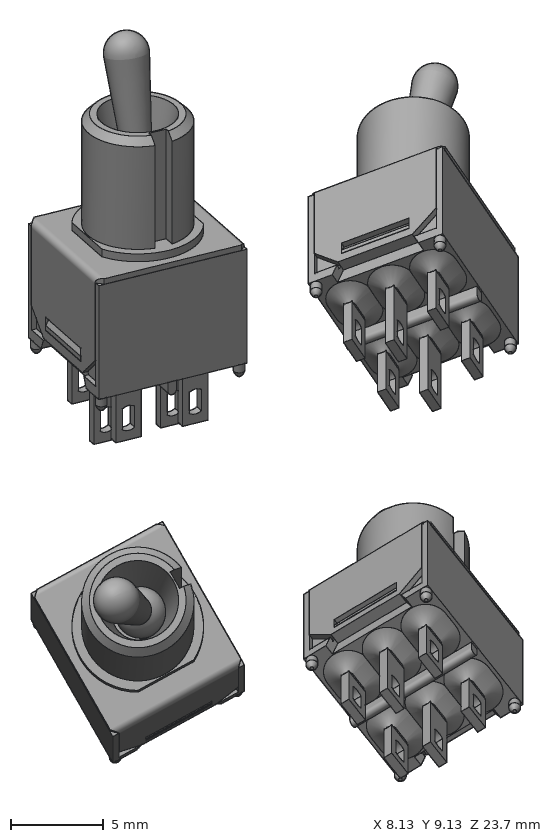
import cadquery as cq
import math

CASE_X = 8.13
CASE_Y = 9.05
CASE_TOP = 7.28
BRACKET_X = 8.09
BRACKET_Y = 9.13
SHEET = 0.33
SIDE_WALL = 0.38
BEND_RADIUS = 0.38
CORNER_CUT = 0.38
PLATE_BOTTOM = CASE_TOP - SHEET
FLAP_X = CASE_X - 2 * SIDE_WALL
LEDGE_TOP = 0.65
FLAP_BOTTOM = 0.8
FLAP_BOTTOM_X = 4.5
FLAP_TAPER_Z = 2.2
MOUTH_BOTTOM_X = 5.22
MOUTH_DEPTH = 0.66

WINDOW_X = 4.08
WINDOW_BOTTOM = 1.4
WINDOW_TOP = 2.2
LATCH_TOP = 1.68
LATCH_DEPTH = 0.02

WASHER_DIAMETER = 7.11
WASHER_FLATS = 6.21
WASHER_HEIGHT = 0.47
BUSHING_DIAMETER = 6.07
BUSHING_HEIGHT = 7.15
BUSHING_CHAMFER = 0.43
BORE_TOP_DIAMETER = 4.4
BORE_BOTTOM_DIAMETER = 2.75
BORE_DEPTH = 3.8
KEYWAY_WIDTH = 1.05
KEYWAY_INNER_X = 2.3

LEVER_TILT = 12.6
PIVOT_Z = 11.71
LEVER_TOP = 18.78
KNOB_RADIUS = 1.25
LEVER_ROOT_RADIUS = 0.78
BALL_RADIUS = 1.4
BALL_DROP = 0.92

TERMINAL_PITCH_X = 2.54
TERMINAL_Y = 2.05
TERMINAL_X_SIZE = 0.52
TERMINAL_Y_SIZE = 1.56
OUTER_TERMINAL_LENGTH = 3.65
CENTRE_TERMINAL_LENGTH = 4.93
EYE_WIDTH = 0.74
EYE_LENGTH = 1.52
EYE_END_MARGIN = 0.57
EYE_END_RISE = 0.12
SEAL_HEIGHT = 0.65
SEAL_TOP_RADIUS = 1.33
SEAL_BOTTOM_RADIUS = 0.33
SEAL_MID_RADIUS = 0.66
SEAL_MID_DEPTH = 0.33
SEAL_CORE_Y = 0.95

PEG_DIAMETER = 0.65
PEG_STRAIGHT = 0.5
FOOT_HEIGHT = 0.85
PEG_TIP_RADIUS = 0.1
PEG_NOSE_RADIUS = 0.6
RAIL_X = 7.97
RAIL_WIDTH = 0.52

SIDES = (-1, 1)


def box(x_size, y_size, z_low, z_high, x=0, y=0):
    block = cq.Workplane("XY").box(x_size, y_size, z_high - z_low, centered=(True, True, False))
    return block.translate((x, y, z_low))


def front_prism(points, depth):
    """Outline in X and Z, running inwards from the -Y face of the bracket."""
    return cq.Workplane("XZ", origin=(0, -BRACKET_Y / 2, 0)).polyline(points).close().extrude(-depth)


def make_flap_side():
    """Recess, flap and latch window at the -Y face: (cut from the case, flap to add)."""
    face_y = -BRACKET_Y / 2
    recess = box(FLAP_X, SHEET, LEDGE_TOP, PLATE_BOTTOM, y=face_y + SHEET / 2)
    mouth = front_prism([
        (-MOUTH_BOTTOM_X / 2, 0),
        (-FLAP_BOTTOM_X / 2, FLAP_BOTTOM),
        (FLAP_BOTTOM_X / 2, FLAP_BOTTOM),
        (MOUTH_BOTTOM_X / 2, 0),
    ], MOUTH_DEPTH)
    flap = front_prism([
        (-FLAP_X / 2, PLATE_BOTTOM),
        (-FLAP_X / 2, FLAP_TAPER_Z),
        (-FLAP_BOTTOM_X / 2, FLAP_BOTTOM),
        (FLAP_BOTTOM_X / 2, FLAP_BOTTOM),
        (FLAP_X / 2, FLAP_TAPER_Z),
        (FLAP_X / 2, PLATE_BOTTOM),
    ], SHEET)
    window = (
        cq.Workplane("YZ", origin=(-WINDOW_X / 2, face_y, 0))
        .polyline([
            (0, WINDOW_BOTTOM),
            (LATCH_DEPTH, WINDOW_BOTTOM),
            (LATCH_DEPTH, LATCH_TOP),
            (SHEET, WINDOW_TOP),
            (0, WINDOW_TOP),
        ])
        .close()
        .extrude(WINDOW_X)
    )
    return recess.union(mouth), flap.cut(window)


def make_case():
    case = box(CASE_X, CASE_Y, 0, PLATE_BOTTOM)
    bracket = box(BRACKET_X, BRACKET_Y, PLATE_BOTTOM, CASE_TOP)
    bracket = bracket.edges("|Z").chamfer(CORNER_CUT)
    waste, flap = make_flap_side()
    case = case.cut(waste).cut(waste.mirror("XZ"))
    bracket = bracket.union(flap).union(flap.mirror("XZ"))

    bend_envelope = box(BRACKET_X, BRACKET_Y, 0, CASE_TOP).edges("|X and >Z").fillet(BEND_RADIUS)
    return case.union(bracket.intersect(bend_envelope))


def make_bushing():
    washer = cq.Workplane("XY").circle(WASHER_DIAMETER / 2).extrude(WASHER_HEIGHT)
    washer = washer.intersect(box(WASHER_DIAMETER, WASHER_FLATS, 0, WASHER_HEIGHT))
    barrel = (
        cq.Workplane("XY")
        .circle(BUSHING_DIAMETER / 2)
        .extrude(BUSHING_HEIGHT)
        .faces(">Z")
        .chamfer(BUSHING_CHAMFER)
    )
    bore = (
        cq.Workplane("XY", origin=(0, 0, BUSHING_HEIGHT))
        .circle(BORE_TOP_DIAMETER / 2)
        .workplane(offset=-BORE_DEPTH)
        .circle(BORE_BOTTOM_DIAMETER / 2)
        .loft()
    )
    keyway_depth = BUSHING_DIAMETER / 2 - KEYWAY_INNER_X
    keyway = box(
        keyway_depth, KEYWAY_WIDTH, WASHER_HEIGHT, BUSHING_HEIGHT, x=KEYWAY_INNER_X + keyway_depth / 2
    )
    return barrel.cut(bore).cut(keyway).union(washer).translate((0, 0, CASE_TOP))


def make_lever():
    """Upright lever about its pivot, then tilted and lifted into the bushing."""
    knob_height = (LEVER_TOP - KNOB_RADIUS - PIVOT_Z) / math.cos(math.radians(LEVER_TILT))
    lever = (
        cq.Workplane("XZ")
        .moveTo(0, -BALL_DROP)
        .lineTo(LEVER_ROOT_RADIUS, -BALL_DROP)
        .lineTo(LEVER_ROOT_RADIUS, 0)
        .lineTo(KNOB_RADIUS, knob_height)
        .radiusArc((0, knob_height + KNOB_RADIUS), -KNOB_RADIUS)
        .close()
        .revolve(360, (0, 0, 0), (0, 1, 0))
    )
    ball = cq.Workplane("XY").sphere(BALL_RADIUS).translate((0, 0, -BALL_DROP))
    lever = lever.union(ball).rotate((0, 0, 0), (0, 1, 0), -LEVER_TILT)
    return lever.translate((0, 0, PIVOT_Z))


def make_terminal(length):
    blade = box(TERMINAL_X_SIZE, TERMINAL_Y_SIZE, -length, 0)
    eye_bottom = -length + EYE_END_MARGIN
    eye_top = eye_bottom + EYE_LENGTH
    half_width = EYE_WIDTH / 2
    eye = (
        cq.Workplane("YZ", origin=(-TERMINAL_X_SIZE / 2, 0, 0))
        .moveTo(-half_width, eye_bottom + EYE_END_RISE)
        .threePointArc((0, eye_bottom), (half_width, eye_bottom + EYE_END_RISE))
        .lineTo(half_width, eye_top - EYE_END_RISE)
        .threePointArc((0, eye_top), (-half_width, eye_top - EYE_END_RISE))
        .close()
        .extrude(TERMINAL_X_SIZE)
    )
    return blade.cut(eye)


def seal_half_profile(plane_y):
    return (
        cq.Workplane("XZ", origin=(0, plane_y, 0))
        .lineTo(SEAL_TOP_RADIUS, 0)
        .threePointArc((SEAL_MID_RADIUS, -SEAL_MID_DEPTH), (SEAL_BOTTOM_RADIUS, -SEAL_HEIGHT))
        .lineTo(0, -SEAL_HEIGHT)
        .close()
    )


def make_seal():
    """Concave flare with a straight middle and a round end on each side."""
    half_side = seal_half_profile(SEAL_CORE_Y / 2).extrude(SEAL_CORE_Y)
    seal = half_side.union(half_side.mirror("YZ"))
    for side in SIDES:
        seal = seal.union(seal_half_profile(side * SEAL_CORE_Y / 2).revolve(360, (0, 0, 0), (0, 1, 0)))
    return seal


def make_peg():
    radius = PEG_DIAMETER / 2
    return (
        cq.Workplane("XZ")
        .lineTo(radius, 0)
        .lineTo(radius, -PEG_STRAIGHT)
        .radiusArc((PEG_TIP_RADIUS, -FOOT_HEIGHT), PEG_NOSE_RADIUS)
        .lineTo(0, -FOOT_HEIGHT)
        .close()
        .revolve(360, (0, 0, 0), (0, 1, 0))
    )


def make_rail():
    """Bar across the middle of the underside with a half-round lower edge."""
    half_width = RAIL_WIDTH / 2
    straight = FOOT_HEIGHT - half_width
    return (
        cq.Workplane("YZ", origin=(-RAIL_X / 2, 0, 0))
        .moveTo(-half_width, 0)
        .lineTo(-half_width, -straight)
        .threePointArc((0, -FOOT_HEIGHT), (half_width, -straight))
        .lineTo(half_width, 0)
        .close()
        .extrude(RAIL_X)
    )


result = make_case().union(make_bushing()).union(make_lever()).union(make_rail())

seal = make_seal()
for row in SIDES:
    for column in (-1, 0, 1):
        length = OUTER_TERMINAL_LENGTH if column else CENTRE_TERMINAL_LENGTH
        place = (column * TERMINAL_PITCH_X, row * TERMINAL_Y, 0)
        result = result.union(seal.translate(place)).union(make_terminal(length).translate(place))

peg = make_peg()
peg_x = (CASE_X - PEG_DIAMETER) / 2
peg_y = (CASE_Y - PEG_DIAMETER) / 2
for x_side in SIDES:
    for y_side in SIDES:
        result = result.union(peg.translate((x_side * peg_x, y_side * peg_y, 0)))